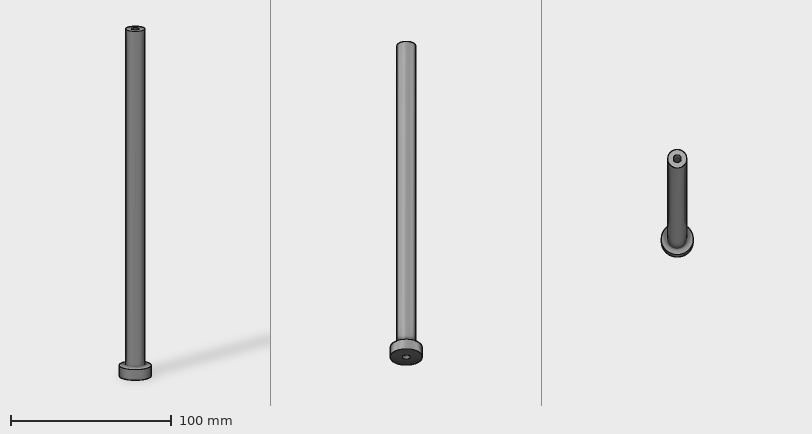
import cadquery as cq

total_length = 225.0
head_diameter = 20.0
head_height = 7.0
shaft_diameter = 12.0
bore_diameter = 5.0
neck_fillet = 0.7

head = cq.Workplane("XY").circle(head_diameter / 2).extrude(head_height)
shaft = cq.Workplane("XY").circle(shaft_diameter / 2).extrude(total_length)
sleeve = head.union(shaft)

neck_edge = cq.selectors.RadiusNthSelector(0)
sleeve = sleeve.faces("<Z[1]").edges(neck_edge).fillet(neck_fillet)

bore = cq.Workplane("XY").circle(bore_diameter / 2).extrude(total_length)
result = sleeve.cut(bore)